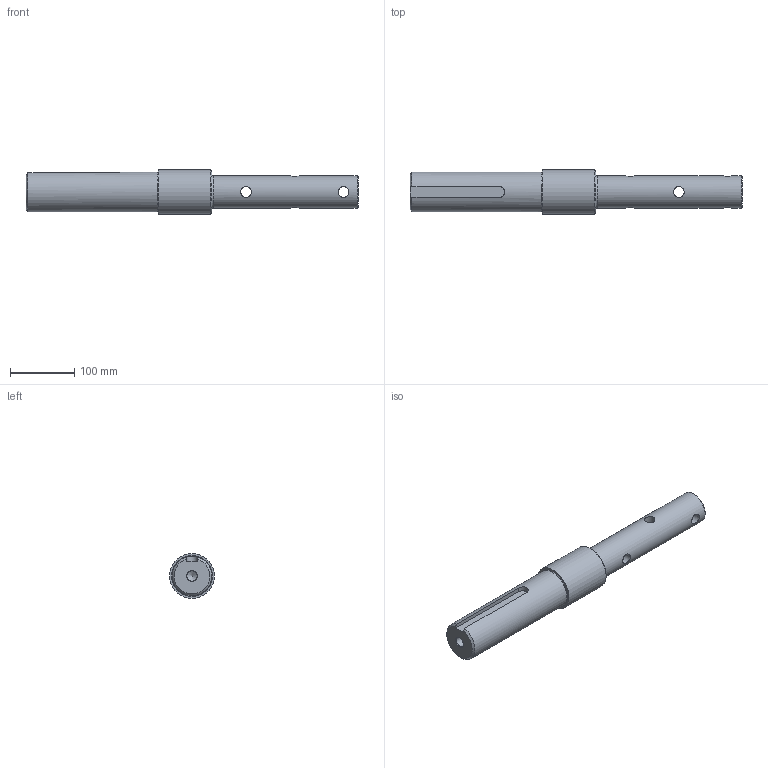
import cadquery as cq
import math

total_length = 517.6
drive_length = 206.4
collar_length = 83.0
drive_end = -total_length / 2
collar_start = drive_end + drive_length
collar_end = collar_start + collar_length
pin_end = total_length / 2

drive_diameter = 61.8
collar_diameter = 69.85
pin_diameter = 50.8

drive_chamfer = 3.1
collar_chamfer = 1.1
pin_chamfer = 1.5
drive_fillet = 0.8
pin_fillet = 2.5

key_width = 17.0
key_length = 147.6
key_floor_height = 23.0

cross_hole_diameter = 16.7
cross_hole_spacing = 152.0
last_hole_to_end = 22.5

end_hole_diameter = 15.9
end_hole_chamfer = 0.8
end_hole_depth = 40.0
drill_point_angle = 118.0


def make_shaft():
    """Revolve the stepped profile about the X axis."""
    drive_radius = drive_diameter / 2
    collar_radius = collar_diameter / 2
    pin_radius = pin_diameter / 2
    drive_arc_offset = drive_fillet * (1 - math.sqrt(0.5))
    pin_arc_offset = pin_fillet * (1 - math.sqrt(0.5))
    profile = (
        cq.Workplane("XY")
        .moveTo(drive_end, 0)
        .lineTo(drive_end, drive_radius - drive_chamfer)
        .lineTo(drive_end + drive_chamfer, drive_radius)
        .lineTo(collar_start - drive_fillet, drive_radius)
        .threePointArc(
            (collar_start - drive_arc_offset, drive_radius + drive_arc_offset),
            (collar_start, drive_radius + drive_fillet),
        )
        .lineTo(collar_start, collar_radius)
        .lineTo(collar_end - collar_chamfer, collar_radius)
        .lineTo(collar_end, collar_radius - collar_chamfer)
        .lineTo(collar_end, pin_radius + pin_fillet)
        .threePointArc(
            (collar_end + pin_arc_offset, pin_radius + pin_arc_offset),
            (collar_end + pin_fillet, pin_radius),
        )
        .lineTo(pin_end - pin_chamfer, pin_radius)
        .lineTo(pin_end, pin_radius - pin_chamfer)
        .lineTo(pin_end, 0)
        .close()
    )
    return profile.revolve(360, (0, 0, 0), (1, 0, 0))


def make_keyway():
    """Flat-floored slot with one round end, open upward and at the drive end."""
    key_radius = key_width / 2
    round_end = drive_end + key_length
    return (
        cq.Workplane("XY", origin=(0, 0, key_floor_height))
        .moveTo(drive_end, -key_radius)
        .lineTo(round_end - key_radius, -key_radius)
        .threePointArc((round_end, 0), (round_end - key_radius, key_radius))
        .lineTo(drive_end, key_radius)
        .close()
        .extrude(drive_diameter / 2)
    )


def make_cross_hole(plane, x):
    """Through hole square to the axis, drilled normal to the named plane."""
    return (
        cq.Workplane(plane, origin=(x, 0, 0))
        .circle(cross_hole_diameter / 2)
        .extrude(pin_diameter, both=True)
    )


def make_end_hole():
    """Blind axial hole with a chamfered mouth and a conical drill point."""
    radius = end_hole_diameter / 2
    point_length = radius / math.tan(math.radians(drill_point_angle / 2))
    bottom = drive_end + end_hole_depth
    profile = (
        cq.Workplane("XY")
        .moveTo(drive_end, 0)
        .lineTo(drive_end, radius + end_hole_chamfer)
        .lineTo(drive_end + end_hole_chamfer, radius)
        .lineTo(bottom, radius)
        .lineTo(bottom + point_length, 0)
        .close()
    )
    return profile.revolve(360, (0, 0, 0), (1, 0, 0))


last_hole_x = pin_end - last_hole_to_end
first_hole_x = last_hole_x - cross_hole_spacing
middle_hole_x = last_hole_x - cross_hole_spacing / 2

result = make_shaft().cut(make_keyway()).cut(make_end_hole())
for hole_plane, hole_x in (("XZ", first_hole_x), ("XY", middle_hole_x), ("XZ", last_hole_x)):
    result = result.cut(make_cross_hole(hole_plane, hole_x))